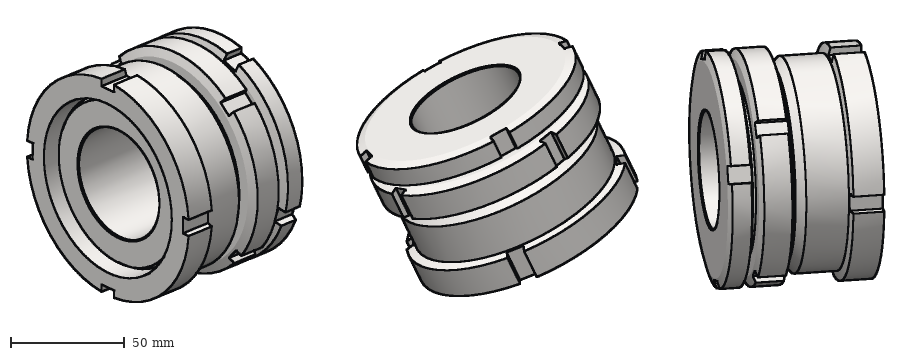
import cadquery as cq
import math


RIM_RADIUS = 52.5
SLOT_COUNT = 4
WIDE_SLOT_WIDTH = 8.0
WIDE_SLOT_FLOOR_RADIUS = 48.7
RIM_BEVEL_ANGLE = math.radians(15)

HOUSING_LENGTH = 38.0
HOUSING_RIM_LENGTH = 15.0
DRUM_RADIUS = 48.0
DRUM_CHAMFER = 4.0
RECESS_RADIUS = 41.5
RECESS_DEPTH = HOUSING_RIM_LENGTH
HOUSING_TURN = 0.0

NUT_FRONT = 39.6
NUT_LENGTH = 15.4
NUT_SLOT_WIDTH = 6.9
NUT_SLOT_FLOOR_RADIUS = 49.2
NUT_BEVEL_LENGTH = 1.5
NUT_TURN = 40.9

BARREL_RADIUS = 40.0
BARREL_CHAMFER = 1.3
BARREL_CHAMFER_ANGLE = math.radians(60)
BARREL_CHAMFER_LENGTH = BARREL_CHAMFER * math.tan(BARREL_CHAMFER_ANGLE)
SLEEVE_FRONT = 6.3
SLEEVE_REAR = 68.9
FLANGE_LENGTH = 11.0
FLANGE_FRONT = SLEEVE_REAR - FLANGE_LENGTH
GROOVE_RADIUS = 38.5
GROOVE_WIDTH = 1.8
BORE_RADIUS = 26.0
BORE_CHAMFER = 0.5
SLEEVE_TURN = 18.8

BEVEL_LENGTH = (RIM_RADIUS - DRUM_RADIUS) * math.tan(RIM_BEVEL_ANGLE)


def turned(profile):
    """Revolve a closed outline of (radius, Y) points about the Y axis."""
    return cq.Workplane("XY").polyline(profile).close().revolve(360, (0, 0, 0), (0, 1, 0))


def cut_rim_slots(body, front, rear, width, floor_radius, turn):
    """Cut flat-floored slots in a rim, turned clockwise from +Z as seen from the front."""
    slot_height = 2 * (RIM_RADIUS - floor_radius)
    slot = cq.Workplane("XY").box(width, rear - front, slot_height, centered=(True, False, False))
    slot = slot.translate((0, front, floor_radius))
    for index in range(SLOT_COUNT):
        angle = turn + index * 360 / SLOT_COUNT
        body = body.cut(slot.rotate((0, 0, 0), (0, 1, 0), angle))
    return body


def make_housing():
    """Drum with a slotted front rim, a chamfered rear edge and a recess around the sleeve end."""
    body = turned([
        (RECESS_RADIUS, 0),
        (RIM_RADIUS, 0),
        (RIM_RADIUS, HOUSING_RIM_LENGTH - BEVEL_LENGTH),
        (DRUM_RADIUS, HOUSING_RIM_LENGTH),
        (DRUM_RADIUS, HOUSING_LENGTH - DRUM_CHAMFER),
        (DRUM_RADIUS - DRUM_CHAMFER, HOUSING_LENGTH),
        (BARREL_RADIUS, HOUSING_LENGTH),
        (BARREL_RADIUS, RECESS_DEPTH),
        (RECESS_RADIUS, RECESS_DEPTH),
    ])
    return cut_rim_slots(
        body, 0, HOUSING_RIM_LENGTH, WIDE_SLOT_WIDTH, WIDE_SLOT_FLOOR_RADIUS, HOUSING_TURN
    )


def make_lock_nut():
    """Slotted ring, bevelled on both faces."""
    rear = NUT_FRONT + NUT_LENGTH
    body = turned([
        (BARREL_RADIUS, NUT_FRONT),
        (DRUM_RADIUS, NUT_FRONT),
        (RIM_RADIUS, NUT_FRONT + NUT_BEVEL_LENGTH),
        (RIM_RADIUS, rear - NUT_BEVEL_LENGTH),
        (DRUM_RADIUS, rear),
        (BARREL_RADIUS, rear),
    ])
    return cut_rim_slots(body, NUT_FRONT, rear, NUT_SLOT_WIDTH, NUT_SLOT_FLOOR_RADIUS, NUT_TURN)


def make_sleeve():
    """Bored barrel, chamfered at both ends, with a relief groove in front of its slotted rear flange."""
    groove_front = FLANGE_FRONT - GROOVE_WIDTH
    body = turned([
        (BORE_RADIUS + BORE_CHAMFER, SLEEVE_FRONT),
        (BARREL_RADIUS - BARREL_CHAMFER, SLEEVE_FRONT),
        (BARREL_RADIUS, SLEEVE_FRONT + BARREL_CHAMFER_LENGTH),
        (BARREL_RADIUS, groove_front - BARREL_CHAMFER_LENGTH),
        (BARREL_RADIUS - BARREL_CHAMFER, groove_front),
        (GROOVE_RADIUS, groove_front),
        (GROOVE_RADIUS, FLANGE_FRONT),
        (DRUM_RADIUS, FLANGE_FRONT),
        (RIM_RADIUS, FLANGE_FRONT + BEVEL_LENGTH),
        (RIM_RADIUS, SLEEVE_REAR - BEVEL_LENGTH),
        (DRUM_RADIUS, SLEEVE_REAR),
        (BORE_RADIUS + BORE_CHAMFER, SLEEVE_REAR),
        (BORE_RADIUS, SLEEVE_REAR - BORE_CHAMFER),
        (BORE_RADIUS, SLEEVE_FRONT + BORE_CHAMFER),
    ])
    return cut_rim_slots(
        body, FLANGE_FRONT, SLEEVE_REAR, WIDE_SLOT_WIDTH, WIDE_SLOT_FLOOR_RADIUS, SLEEVE_TURN
    )


housing = make_housing()
lock_nut = make_lock_nut()
sleeve = make_sleeve()

result = cq.Compound.makeCompound([housing.val(), lock_nut.val(), sleeve.val()])